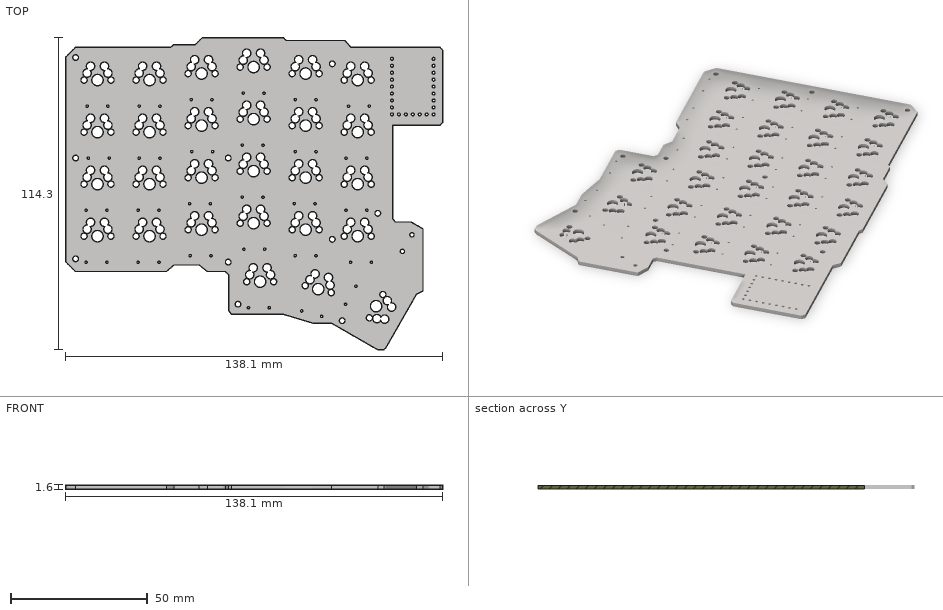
import cadquery as cq

LENGTH = 138.11
WIDTH = 114.3
THICKNESS = 1.6

RIGHT = LENGTH / 2
LEFT = -RIGHT
TOP = WIDTH / 2
BOTTOM = -TOP
LEFT_CHAMFER = 3.6
SHOULDER_Y = 53.65
THIRD_COLUMN_TOP = 54.6
FIFTH_COLUMN_TOP = 56.15
LOWER_EDGE_Y = -28.5
THIRD_COLUMN_BOTTOM = -26.1
CONTROLLER_CHAMFER = 1.1
CONTROLLER_BOTTOM = 25.05
INNER_RIGHT = 50.7
JACK_TOP = -10.24
JACK_RIGHT = 61.8
THUMB_LEFT = -9.39
THUMB_BOTTOM = -44.1
MIDDLE_THUMB_BOTTOM = -47.42

KEY_PITCH = 19.05
STAGGER = KEY_PITCH / 8
ROWS = 4
FIRST_KEY_X = -57.4
FIRST_KEY_Y = 41.63
COLUMN_STAGGERS = [0, 0, 1, 2, 1, 0]

CENTRE_POST_DIAMETER = 4.1
SIDE_POST_DIAMETER = 2.2
SIDE_POST_OFFSET = 4.93
SOCKET_HOLE_DIAMETER = 3.0
PIN_PITCH = 1.27
SOCKET_HOLE_PLACES = [(2 * PIN_PITCH, 4 * PIN_PITCH), (3 * PIN_PITCH, 2 * PIN_PITCH)]

DIODE_HOLE_DIAMETER = 0.8
DIODE_LEAD_SPACING = 7.62
DIODE_DROP = KEY_PITCH / 2
DIODE_SHIFTS = [
    [0, 0.47, -0.36, -0.36],
    [0, 0, -0.36, -0.36],
    [0, 0.24, -0.57, -0.36],
    [0, -0.36, -0.36, 0.24],
    [0, 0, -0.36, 0],
    [0.47, -0.45, -0.45, 1.22],
]

THUMB_KEYS = [
    (2.14, -32.18, 0, -0.47, DIODE_DROP),
    (23.4, -34.9, -15, 0, 9.28),
    (44.6, -41.14, -120, 1.14, 10.07),
]

HEADER_HOLE_DIAMETER = 1.0
HEADER_PITCH = 2.54
HEADER_SIDE_PINS = 9
HEADER_BOTTOM_PINS = 7
HEADER_LEFT = 50.4
HEADER_TOP = 49.4

JACK_PEG_DIAMETER = 1.5
JACK_PEG_SPACING = 7.0
JACK_CENTRE = (55.97, -18.05)
JACK_ANGLE = 60

SCREW_HOLE_DIAMETER = 2.0
SCREW_PLACES = [
    (-65.4, 49.88),
    (-65.4, 13.1),
    (-65.4, -23.82),
    (-9.54, 13.1),
    (-9.54, -25.0),
    (-5.97, -40.42),
    (28.56, 47.58),
    (28.56, -16.68),
    (45.22, -7.14),
    (32.16, -46.46),
]


def outline_points():
    """Corners of the board, clockwise from the upper end of the left edge."""
    upper_edge = [
        (LEFT, SHOULDER_Y - LEFT_CHAMFER),
        (LEFT + LEFT_CHAMFER, SHOULDER_Y),
        (-30.6, SHOULDER_Y),
        (-29.6, THIRD_COLUMN_TOP),
        (-21.6, THIRD_COLUMN_TOP),
        (-19.05, TOP),
        (10.7, TOP),
        (11.7, FIFTH_COLUMN_TOP),
        (33.2, FIFTH_COLUMN_TOP),
        (35.4, SHOULDER_Y),
        (RIGHT - CONTROLLER_CHAMFER, SHOULDER_Y),
    ]
    right_edge = [
        (RIGHT, SHOULDER_Y - CONTROLLER_CHAMFER),
        (RIGHT, CONTROLLER_BOTTOM + CONTROLLER_CHAMFER),
        (RIGHT - CONTROLLER_CHAMFER, CONTROLLER_BOTTOM),
        (INNER_RIGHT, CONTROLLER_BOTTOM),
        (INNER_RIGHT, -9.1),
        (51.6, JACK_TOP),
        (57.3, JACK_TOP),
        (JACK_RIGHT, -12.8),
        (JACK_RIGHT, -35.6),
        (59.4, -36.8),
        (48.3, -56.25),
    ]
    lower_edge = [
        (47.4, BOTTOM),
        (45.2, BOTTOM),
        (28.3, MIDDLE_THUMB_BOTTOM),
        (21.5, MIDDLE_THUMB_BOTTOM),
        (10.4, THUMB_BOTTOM),
        (-8.4, THUMB_BOTTOM),
        (THUMB_LEFT, -42.8),
        (THUMB_LEFT, -29.6),
        (-10.6, LOWER_EDGE_Y),
        (-17.2, LOWER_EDGE_Y),
        (-20.2, THIRD_COLUMN_BOTTOM),
        (-29.4, THIRD_COLUMN_BOTTOM),
        (-32.2, LOWER_EDGE_Y),
        (LEFT + LEFT_CHAMFER, LOWER_EDGE_Y),
        (LEFT, LOWER_EDGE_Y + LEFT_CHAMFER),
    ]
    return upper_edge + right_edge + lower_edge


def drills(points, diameter):
    """Cylinders that cut round through holes at the given points."""
    return cq.Workplane("XY").pushPoints(points).circle(diameter / 2).extrude(THICKNESS)


def placed(holes, x, y, angle):
    return holes.rotate((0, 0, 0), (0, 0, 1), angle).translate((x, y, 0))


def switch_holes():
    """Centre post, and on each side a side post and two overlapping socket holes."""
    holes = drills([(0, 0)], CENTRE_POST_DIAMETER)
    for side in (-1, 1):
        holes = holes.union(drills([(side * SIDE_POST_OFFSET, 0)], SIDE_POST_DIAMETER))
        for x, y in SOCKET_HOLE_PLACES:
            holes = holes.union(drills([(side * x, y)], SOCKET_HOLE_DIAMETER))
    return holes


def diode_holes(shift, drop):
    half = DIODE_LEAD_SPACING / 2
    return drills([(shift - half, -drop), (shift + half, -drop)], DIODE_HOLE_DIAMETER)


def all_keys():
    """Every key as x, y, rotation, diode shift and diode drop."""
    keys = []
    for column, stagger in enumerate(COLUMN_STAGGERS):
        for row in range(ROWS):
            x = FIRST_KEY_X + column * KEY_PITCH
            y = FIRST_KEY_Y + stagger * STAGGER - row * KEY_PITCH
            keys.append((x, y, 0, DIODE_SHIFTS[column][row], DIODE_DROP))
    return keys + THUMB_KEYS


def header_holes():
    right = HEADER_LEFT + (HEADER_BOTTOM_PINS - 1) * HEADER_PITCH
    bottom = HEADER_TOP - (HEADER_SIDE_PINS - 1) * HEADER_PITCH
    points = []
    for pin in range(HEADER_SIDE_PINS):
        y = HEADER_TOP - pin * HEADER_PITCH
        points += [(HEADER_LEFT, y), (right, y)]
    for pin in range(1, HEADER_BOTTOM_PINS - 1):
        points.append((HEADER_LEFT + pin * HEADER_PITCH, bottom))
    return drills(points, HEADER_HOLE_DIAMETER)


def jack_holes():
    half = JACK_PEG_SPACING / 2
    pegs = drills([(-half, 0), (half, 0)], JACK_PEG_DIAMETER)
    return placed(pegs, *JACK_CENTRE, JACK_ANGLE)


board = cq.Workplane("XY").polyline(outline_points()).close().extrude(THICKNESS)

switch = switch_holes()
for x, y, angle, shift, drop in all_keys():
    board = board.cut(placed(switch, x, y, angle))
    board = board.cut(placed(diode_holes(shift, drop), x, y, angle))

board = board.cut(header_holes())
board = board.cut(jack_holes())
board = board.cut(drills(SCREW_PLACES, SCREW_HOLE_DIAMETER))

result = board